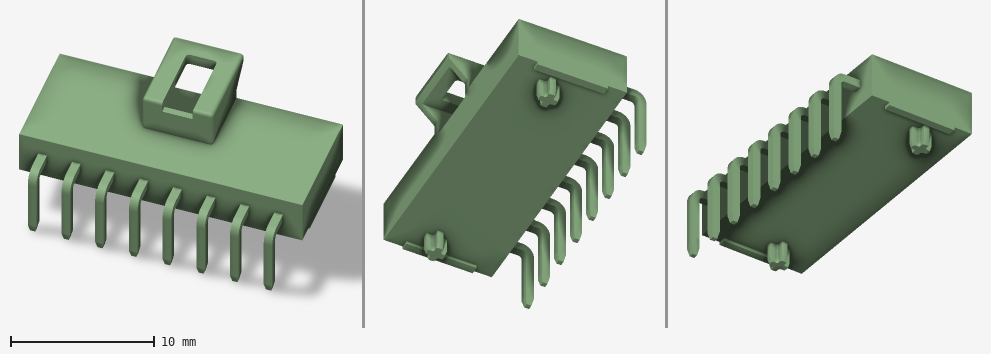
import cadquery as cq

body_length = 20.95
body_depth = 8.44
body_height = 3.48

foot_width = 0.6
foot_height = 0.25
foot_inset = 1.49

pin_count = 8
pin_pitch = 2.5
pin_size = 0.63
pin_top = 2.07
pin_reach = 2.25
pin_drop = 3.48
pin_outer_radius = 0.95
pin_inner_radius = pin_outer_radius - pin_size
tip_height = 0.59
tip_size = 0.38

peg_diameter = 1.61
peg_radius = peg_diameter / 2
peg_length = 1.55
peg_rib = 0.46
peg_root_radius = 0.19
peg_lead_height = 0.38
peg_lead_width = 0.13
peg_back_offset = 3.16

latch_width = 5.21
latch_length = 6.45
latch_height = 2.9
latch_overhang = 1.49
latch_lip = 0.6
latch_fillet = 0.25
window_width = 2.26
window_end_margin = 1.3
window_corner_radius = 0.25
wall = 0.48
notch_depth = 0.82

roof_thickness = 0.9
hollow_sink = 0.48

pin_xs = [(i - (pin_count - 1) / 2) * pin_pitch for i in range(pin_count)]


def make_body():
    body = cq.Workplane("XY").box(body_length, body_depth, body_height, centered=(True, False, False))
    return body.translate((0, -body_depth, 0))


def make_foot(side):
    foot = cq.Workplane("XY").box(foot_width, body_depth - 2 * foot_inset, foot_height)
    return foot.translate((side * (body_length - foot_width) / 2, -body_depth / 2, -foot_height / 2))


def make_pin(x):
    outer_y = -body_depth - pin_reach
    inner_y = outer_y + pin_size
    taper_z = tip_height - pin_drop
    bar = (
        cq.Workplane("YZ")
        .moveTo(-body_depth, pin_top)
        .lineTo(outer_y + pin_outer_radius, pin_top)
        .radiusArc((outer_y, pin_top - pin_outer_radius), -pin_outer_radius)
        .lineTo(outer_y, taper_z)
        .lineTo(inner_y, taper_z)
        .lineTo(inner_y, pin_top - pin_outer_radius)
        .radiusArc((inner_y + pin_inner_radius, pin_top - pin_size), pin_inner_radius)
        .lineTo(-body_depth, pin_top - pin_size)
        .close()
        .extrude(pin_size / 2, both=True)
    )
    tip = (
        cq.Workplane("XY", origin=(0, outer_y + pin_size / 2, taper_z))
        .rect(pin_size, pin_size)
        .workplane(offset=-tip_height)
        .rect(tip_size, tip_size)
        .loft(ruled=True)
    )
    return bar.union(tip).translate((x, 0, 0))


def make_peg(x):
    cross = (
        cq.Workplane("XY")
        .rect(peg_diameter, peg_rib)
        .extrude(-peg_length)
        .union(cq.Workplane("XY").rect(peg_rib, peg_diameter).extrude(-peg_length))
    )
    inner_corners = cq.selectors.BoxSelector((-peg_rib, -peg_rib, -peg_length), (peg_rib, peg_rib, 0))
    cross = cross.edges("|Z").edges(inner_corners).fillet(peg_root_radius)
    envelope = (
        cq.Workplane("XY")
        .circle(peg_radius)
        .extrude(-peg_length)
        .faces("<Z")
        .chamfer(peg_lead_height, peg_lead_width)
    )
    return cross.intersect(envelope).translate((x, -peg_back_offset, 0))


def make_latch():
    front_y = latch_overhang - latch_length
    top_z = body_height + latch_height
    lip_z = top_z - latch_lip
    block = (
        cq.Workplane("YZ")
        .moveTo(front_y, body_height)
        .lineTo(front_y, top_z)
        .lineTo(latch_overhang, top_z)
        .lineTo(latch_overhang, lip_z)
        .lineTo(0, lip_z - latch_overhang)
        .lineTo(0, body_height)
        .close()
        .extrude(latch_width / 2, both=True)
    )
    block = block.edges("(<Y and |Z) or (>Z and |X and <Y) or (>Z and |Y)").fillet(latch_fillet)

    window_end_y = latch_overhang - window_end_margin
    window_start_y = front_y + wall
    window_length = window_end_y - window_start_y
    window = (
        cq.Workplane("XY")
        .box(window_width, window_length, latch_height, centered=(True, False, False))
        .edges("|Z and >Y")
        .fillet(window_corner_radius)
        .translate((0, window_start_y, body_height))
    )
    notch = (
        cq.Workplane("XY")
        .box(window_width, wall, notch_depth, centered=(True, False, False))
        .translate((0, front_y, top_z - notch_depth))
    )
    return block.cut(window).cut(notch)


def make_hollow():
    length = latch_length - wall
    height = latch_height - roof_thickness + hollow_sink
    hollow = cq.Workplane("XY").box(latch_width - 2 * wall, length, height, centered=(True, False, False))
    return hollow.translate((0, latch_overhang - length, body_height - hollow_sink))


result = make_body().union(make_latch()).cut(make_hollow())
for side in (-1, 1):
    result = result.union(make_foot(side))
for peg_x in (pin_xs[0], pin_xs[-1]):
    result = result.union(make_peg(peg_x))
for pin_x in pin_xs:
    result = result.union(make_pin(pin_x))